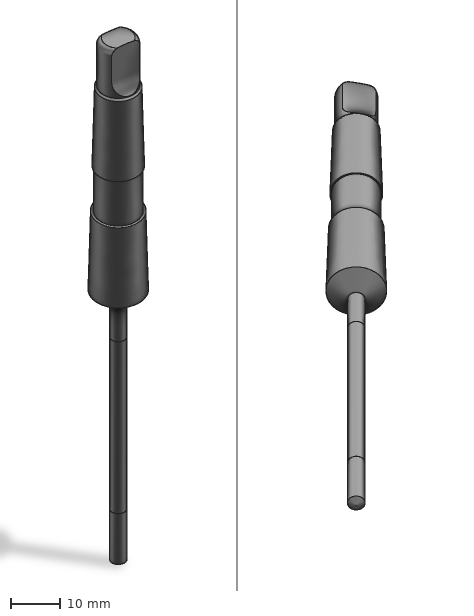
import cadquery as cq
import math

overall_length = 136.5

drill_diameter = 3.5
drill_radius = drill_diameter / 2
point_angle = 118.0
point_height = drill_radius / math.tan(math.radians(point_angle / 2))
lead_top = 14.2
cutting_top = 58.7
relief = 0.03
relieved_radius = drill_radius - relief

collar_bottom = 68.3
taper_bottom = 71.0
taper_top = 123.4
taper_large_radius = 6.1
taper_slope = 0.025
waist_diameter = 10.1
waist_radius = waist_diameter / 2
waist_bottom = 91.3
waist_top = 103.1

tang_radius = 4.4
tang_bottom = 123.8
tang_thickness = 5.3
flat_direction = 145.0
flat_bottom = 127.8
runout_radius = 5.0
crown_radius = 3.4
crown_height = 0.4
shoulder_height = 1.4
shoulder_bulge = 0.2


def taper_radius(height):
    """Radius of the taper at a height."""
    return taper_large_radius - taper_slope * (height - taper_bottom)


def make_cutting_body():
    profile = (
        cq.Workplane("XZ")
        .moveTo(0, 0)
        .lineTo(drill_radius, point_height)
        .lineTo(drill_radius, lead_top)
        .lineTo(relieved_radius, lead_top)
        .lineTo(relieved_radius, cutting_top)
        .lineTo(0, cutting_top)
        .close()
    )
    return profile.revolve(360, (0, 0, 0), (0, 1, 0))


def make_turned_shank():
    crown_edge = overall_length - crown_height
    profile = (
        cq.Workplane("XZ")
        .moveTo(0, cutting_top)
        .lineTo(relieved_radius, cutting_top)
        .lineTo(relieved_radius, collar_bottom)
        .lineTo(taper_large_radius, taper_bottom)
        .lineTo(taper_radius(waist_bottom), waist_bottom)
        .lineTo(waist_radius, waist_bottom)
        .lineTo(waist_radius, waist_top)
        .lineTo(taper_radius(waist_top), waist_top)
        .lineTo(taper_radius(taper_top), taper_top)
        .lineTo(tang_radius, tang_bottom)
        .lineTo(tang_radius, crown_edge - shoulder_height)
        .sagittaArc((crown_radius, crown_edge), -shoulder_bulge)
        .lineTo(0, overall_length)
        .close()
    )
    return profile.revolve(360, (0, 0, 0), (0, 1, 0))


def make_flat_cutter():
    """Tool that mills one flat on the +X side and runs out in a quarter arc."""
    flat = tang_thickness / 2
    diagonal = runout_radius * math.sqrt(0.5)
    arc_centre = flat + runout_radius
    return (
        cq.Workplane("XZ")
        .moveTo(flat, overall_length)
        .lineTo(flat, flat_bottom)
        .threePointArc((arc_centre - diagonal, flat_bottom - diagonal),
                       (arc_centre, flat_bottom - runout_radius))
        .lineTo(arc_centre, overall_length)
        .close()
        .extrude(taper_large_radius, both=True)
    )


def make_shank():
    shank = make_turned_shank()
    cutter = make_flat_cutter()
    for angle in (flat_direction, flat_direction + 180):
        shank = shank.cut(cutter.rotate((0, 0, 0), (0, 0, 1), angle))
    return shank


shank = make_shank()
cutting_body = make_cutting_body()

result = cq.Compound.makeCompound([shank.val(), cutting_body.val()])